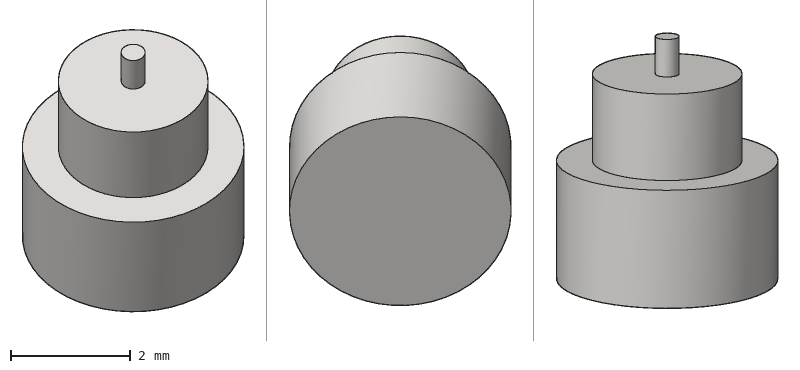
import cadquery as cq

base_diameter = 3.7
neck_diameter = 2.5
insulator_diameter = 1.95
pin_diameter = 0.4

overall_height = 4.2
base_height = 2.05
neck_height = 1.5

neck_top = base_height + neck_height


def cylinder(diameter, bottom, top):
    """Cylinder on the Z axis between two heights."""
    return cq.Workplane("XY").workplane(offset=bottom).circle(diameter / 2).extrude(top - bottom)


base = cylinder(base_diameter, 0, base_height)
neck = cylinder(neck_diameter, base_height, neck_top)
shell = base.union(neck)

insulator = cylinder(insulator_diameter, base_height, neck_top)
insulated_body = shell.union(insulator, clean=False)

pin = cylinder(pin_diameter, neck_top, overall_height)
result = insulated_body.union(pin, clean=False)